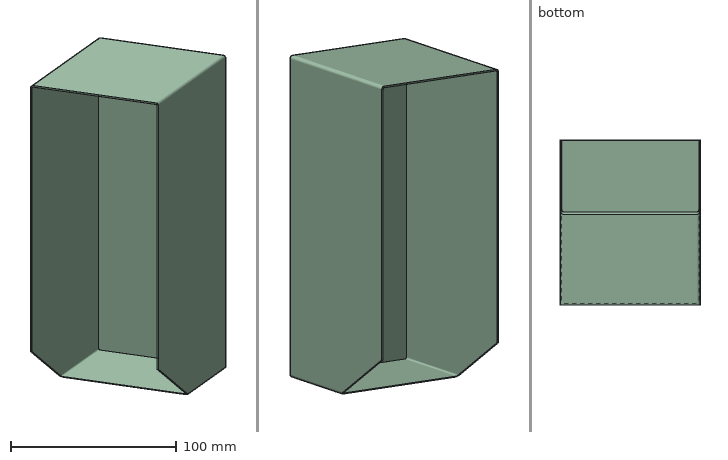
import cadquery as cq

width = 85.0
depth = 100.0
height = 200.0

wall = 1.0
outer_bend_radius = 2.0
inner_bend_radius = outer_bend_radius - wall

cut_depth = 45.0
cut_height = 30.0

front_y = -depth / 2
bottom_z = -height / 2


def rounded_block(size_x, size_y, size_z, radius):
    """Centred block with its four edges along Y rounded."""
    return cq.Workplane("XY").box(size_x, size_y, size_z).edges("|Y").fillet(radius)


shell = rounded_block(width, depth, height, outer_bend_radius)
cavity = rounded_block(width - 2 * wall, depth, height - 2 * wall, inner_bend_radius)
hood = shell.cut(cavity.translate((0, -wall, 0)))

corner_cut = (
    cq.Workplane("YZ")
    .polyline([
        (front_y, bottom_z),
        (front_y + cut_depth, bottom_z),
        (front_y, bottom_z + cut_height),
    ])
    .close()
    .extrude(width / 2, both=True)
)

result = hood.cut(corner_cut)